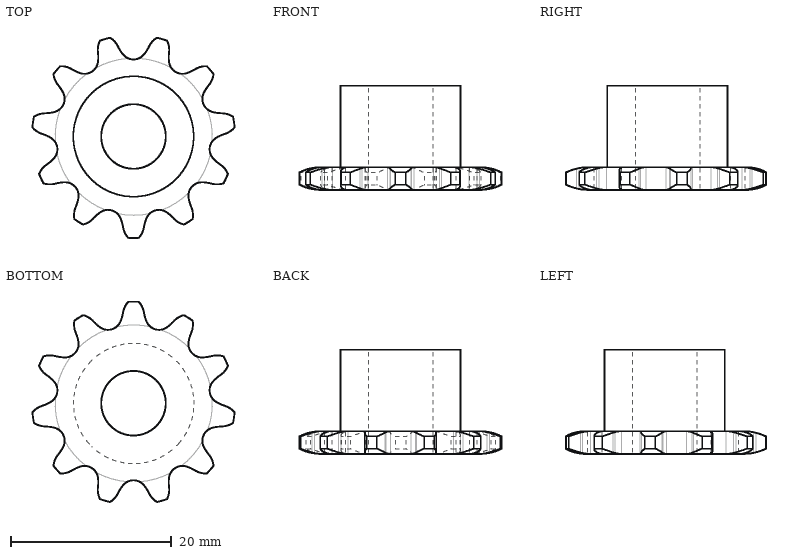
import cadquery as cq
import math

TOOTH_COUNT = 11
PITCH_RADIUS = 11.25
SEAT_RADIUS = 1.65
WORKING_RADIUS = 4.33
FLANK_LENGTH = 0.3
TIP_RADIUS = 12.65
TIP_WIDTH = 1.3
WHEEL_THICKNESS = 2.87
TIP_THICKNESS = 1.5
FACE_RADIUS = 9.77

HUB_DIAMETER = 15.0
BORE_DIAMETER = 8.0
TOTAL_HEIGHT = 13.0

SEAT_ANGLE = math.radians(35 + 60 / TOOTH_COUNT)
WORKING_ANGLE = math.radians(18 - 56 / TOOTH_COUNT)
PITCH_ANGLE = 2 * math.pi / TOOTH_COUNT

CUTTER_MARGIN = 1.25


def polar(center, radius, angle):
    """Point at a radius and angle around a center."""
    return (center[0] + radius * math.cos(angle), center[1] + radius * math.sin(angle))


def mirrored(point):
    """Reflect a point across the gap's center line."""
    return (-point[0], point[1])


def make_blank():
    """Disc whose rim is rounded towards both side faces by tangent arcs."""
    drop = (WHEEL_THICKNESS - TIP_THICKNESS) / 2
    reach = TIP_RADIUS - FACE_RADIUS
    rim_arc_radius = (reach**2 + drop**2) / (2 * drop)
    sweep = math.asin(reach / rim_arc_radius)

    upper_center = (FACE_RADIUS, WHEEL_THICKNESS - rim_arc_radius)
    lower_center = (FACE_RADIUS, rim_arc_radius)
    upper_middle = polar(upper_center, rim_arc_radius, math.pi / 2 - sweep / 2)
    lower_middle = polar(lower_center, rim_arc_radius, -math.pi / 2 + sweep / 2)

    profile = (
        cq.Workplane("XZ")
        .lineTo(FACE_RADIUS, 0)
        .threePointArc(lower_middle, (TIP_RADIUS, drop))
        .lineTo(TIP_RADIUS, drop + TIP_THICKNESS)
        .threePointArc(upper_middle, (FACE_RADIUS, WHEEL_THICKNESS))
        .lineTo(0, WHEEL_THICKNESS)
        .close()
    )
    return profile.revolve(360, (0, 0, 0), (0, 1, 0))


def topping_middle(start, direction, end):
    """Middle point of the arc that leaves start along a direction and reaches end."""
    chord = (end[0] - start[0], end[1] - start[1])
    chord_length = math.hypot(*chord)
    chord_angle = math.atan2(chord[1], chord[0])
    middle_angle = (direction + chord_angle) / 2
    middle_distance = chord_length / (2 * math.cos((chord_angle - direction) / 2))
    return polar(start, middle_distance, middle_angle)


def make_gap_cutter():
    """Prism of one tooth gap, centered on the +Y axis."""
    seat_center = (0, PITCH_RADIUS)
    seat_bottom = (0, PITCH_RADIUS - SEAT_RADIUS)
    seat_end = polar(seat_center, SEAT_RADIUS, -SEAT_ANGLE)

    working_center = polar(seat_end, WORKING_RADIUS, math.pi - SEAT_ANGLE)
    working_end_angle = WORKING_ANGLE - SEAT_ANGLE
    working_middle = polar(working_center, WORKING_RADIUS, WORKING_ANGLE / 2 - SEAT_ANGLE)
    working_end = polar(working_center, WORKING_RADIUS, working_end_angle)

    flank_direction = math.pi / 2 + working_end_angle
    flank_end = polar(working_end, FLANK_LENGTH, flank_direction)

    tip_half_angle = math.asin(TIP_WIDTH / 2 / TIP_RADIUS)
    tip_angle = math.pi / 2 - PITCH_ANGLE / 2 + tip_half_angle
    tip_corner = polar((0, 0), TIP_RADIUS, tip_angle)
    topping_mid = topping_middle(flank_end, flank_direction, tip_corner)
    outside = polar((0, 0), TIP_RADIUS + CUTTER_MARGIN, tip_angle)

    return (
        cq.Workplane("XY")
        .moveTo(*outside)
        .lineTo(*tip_corner)
        .threePointArc(topping_mid, flank_end)
        .lineTo(*working_end)
        .threePointArc(working_middle, seat_end)
        .threePointArc(seat_bottom, mirrored(seat_end))
        .threePointArc(mirrored(working_middle), mirrored(working_end))
        .lineTo(*mirrored(flank_end))
        .threePointArc(mirrored(topping_mid), mirrored(tip_corner))
        .lineTo(*mirrored(outside))
        .close()
        .extrude(WHEEL_THICKNESS)
    )


def make_wheel():
    """Sprocket wheel with one gap on +Y and one tooth on -Y."""
    wheel = make_blank()
    cutter = make_gap_cutter()
    for index in range(TOOTH_COUNT):
        turn = math.degrees(index * PITCH_ANGLE)
        wheel = wheel.cut(cutter.rotate((0, 0, 0), (0, 0, 1), turn))
    return wheel


hub = cq.Workplane("XY").circle(HUB_DIAMETER / 2).extrude(TOTAL_HEIGHT)
bore = cq.Workplane("XY").circle(BORE_DIAMETER / 2).extrude(TOTAL_HEIGHT)

result = make_wheel().union(hub).cut(bore)